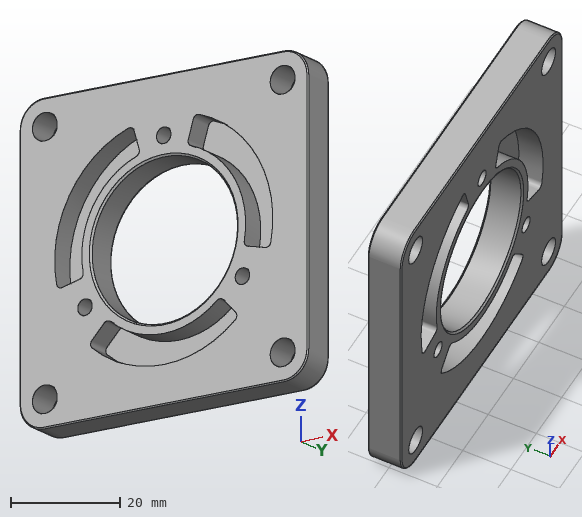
import cadquery as cq
import math

side = 63.5
thickness = 7.0
corner_radius = 5.4
edge_chamfer = 0.25

bore_radius = 16.0
bore_chamfer = 0.4

mount_offset = 26.15
mount_radius = 2.7

ring_radius = 20.0
ring_hole_radius = 1.6

pocket_inner_radius = 18.05
pocket_outer_radius = 24.0
pocket_half_angle = 43.5
pocket_corner_radius = 1.0
pocket_depth = 5.0

pattern_count = 3
pattern_step = 360 / pattern_count
front_y = -thickness / 2


def polar(radius, angle):
    """X and Z of a point at an angle in degrees from +X towards +Z."""
    return radius * math.cos(math.radians(angle)), radius * math.sin(math.radians(angle))


def make_plate():
    plate = cq.Workplane("XZ").rect(side, side).extrude(thickness / 2, both=True)
    plate = plate.edges("|Y").fillet(corner_radius)
    return plate.faces("<Y or >Y").edges().chamfer(edge_chamfer)


def make_through_cylinders(points, radius):
    return (
        cq.Workplane("XZ", origin=(0, front_y, 0))
        .pushPoints(points)
        .circle(radius)
        .extrude(-thickness)
    )


def make_pocket(mid_angle):
    start = mid_angle - pocket_half_angle
    end = mid_angle + pocket_half_angle
    pocket = (
        cq.Workplane("XZ", origin=(0, front_y, 0))
        .moveTo(*polar(pocket_inner_radius, start))
        .lineTo(*polar(pocket_outer_radius, start))
        .threePointArc(polar(pocket_outer_radius, mid_angle), polar(pocket_outer_radius, end))
        .lineTo(*polar(pocket_inner_radius, end))
        .threePointArc(polar(pocket_inner_radius, mid_angle), polar(pocket_inner_radius, start))
        .close()
        .extrude(-pocket_depth)
    )
    return pocket.edges("|Y").fillet(pocket_corner_radius)


mount_points = [(x, z) for x in (-mount_offset, mount_offset) for z in (-mount_offset, mount_offset)]
ring_points = [polar(ring_radius, 90 + i * pattern_step) for i in range(pattern_count)]

result = make_plate()

result = result.cut(make_through_cylinders([(0, 0)], bore_radius))
bore_rims = cq.selectors.BoxSelector(
    (-bore_radius, -thickness, -bore_radius), (bore_radius, thickness, bore_radius)
)
result = result.faces("<Y or >Y").edges("%CIRCLE").edges(bore_rims).chamfer(bore_chamfer)

result = result.cut(make_through_cylinders(mount_points, mount_radius))
result = result.cut(make_through_cylinders(ring_points, ring_hole_radius))
for i in range(pattern_count):
    result = result.cut(make_pocket(-90 + i * pattern_step))